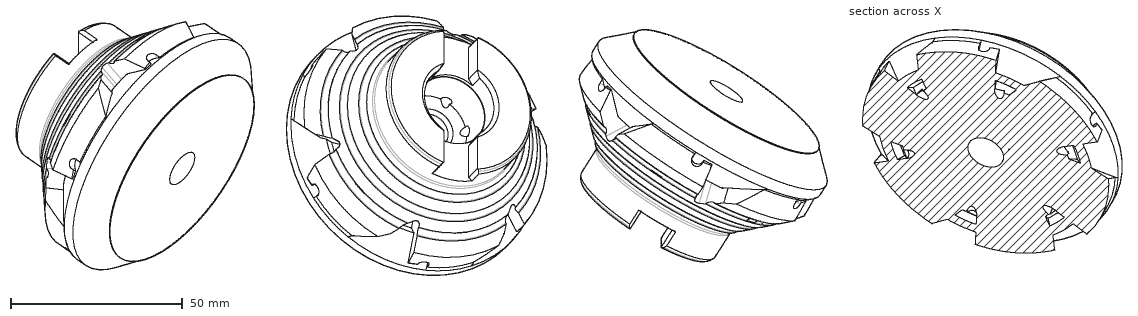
import cadquery as cq
import math


clearance = 5.0

total_length = 45.1
flange_radius = 39.15
flange_start = 33.95
flange_end = 37.3
flange_lead = 0.75
back_land = 0.3
body_radius = 38.5
hub_radius = 23.0
hub_face_radius = 22.0
hub_rim_chamfer = 0.55
hub_rim_length = 1.45
hub_root_fillet = 1.1

cone_offset = 12.6
cone_angle = 45.0
groove_count = 3
groove_pitch = 4.25
first_groove_crest = 13.8
groove_height = 1.8
groove_fillet = 1.5

bore_radius = 11.0
bore_chamfer = 1.15
bore_depth = 21.0
bore_step_depth = 7.7
bore_step = 0.15
through_radius = 5.5
through_chamfer = 1.1

slot_width = 10.57
slot_depth = 6.4
slot_edge_chamfer = 1.0
slot_bore_flare = 1.17
slot_bore_flare_rise = 1.95

pocket_count = 6
pocket_pitch = 360 / pocket_count
pocket_phase = 11.5
pocket_root_x = 19.6
pocket_root_radius = pocket_root_x + cone_offset
pocket_corner_radius = 1.15
seat_angle = 13.7
root_angle = 47.6
back_angle = 35.0
relief_angle = 53.0
apex_along = -1.4
apex_across = 1.55
root_end = 1.2
seat_end = 13.55
back_wall_end = 6.1
pocket_reach = 22.0
pocket_depth = 10.0
pocket_floor_x = 26.6
pocket_floor_cone_offset = flange_radius - flange_start
pocket_far_across = 9.4

notch_radius = 1.65
notch_tip_x = 30.1
notch_angle = 14.3

coolant_radius = 1.5
coolant_inlet = cq.Vector(bore_depth, -1.85, 12.0)
coolant_advance = 7.2
coolant_outlet = cq.Vector(bore_depth + coolant_advance, 1.1, 27.0)
coolant_inner_run = 4.5


def rotate_about_axis(shape, angle):
    return shape.rotate((0, 0, 0), (1, 0, 0), angle)


def revolve_profile(profile):
    return profile.close().revolve(360, (0, 0, 0), (1, 0, 0))


def make_body():
    """Solid of revolution with hub, grooves, head and flange."""
    diagonal = math.sqrt(0.5)
    cone_start = hub_radius - cone_offset
    root_tangent = hub_root_fillet * math.tan(math.radians(cone_angle / 2))
    root_start = cone_start - root_tangent
    root_end_x = cone_start + root_tangent * diagonal
    root_mid_x = root_start + hub_root_fillet * math.sin(math.radians(cone_angle / 2))
    root_mid_radius = hub_radius + hub_root_fillet * (1 - math.cos(math.radians(cone_angle / 2)))
    profile = (
        cq.Workplane("XY")
        .lineTo(0, hub_face_radius)
        .lineTo(hub_rim_chamfer, hub_face_radius + hub_rim_chamfer)
        .lineTo(hub_rim_length, hub_radius)
        .lineTo(root_start, hub_radius)
        .threePointArc((root_mid_x, root_mid_radius), (root_end_x, root_end_x + cone_offset))
    )
    for index in range(groove_count):
        crest = first_groove_crest + index * groove_pitch
        crest_radius = crest + cone_offset
        floor_radius = crest_radius - groove_height
        fillet_mid = groove_fillet * (1 - diagonal)
        profile = (
            profile.lineTo(floor_radius - cone_offset, floor_radius)
            .lineTo(crest - groove_fillet, floor_radius)
            .threePointArc(
                (crest - fillet_mid, floor_radius + fillet_mid),
                (crest, floor_radius + groove_fillet),
            )
            .lineTo(crest, crest_radius)
        )
    land_start = total_length - back_land
    back_radius = flange_radius - (land_start - flange_end)
    profile = (
        profile.lineTo(body_radius - cone_offset, body_radius)
        .lineTo(flange_start - flange_lead, body_radius)
        .lineTo(flange_start, flange_radius)
        .lineTo(flange_end, flange_radius)
        .lineTo(land_start, back_radius)
        .lineTo(total_length, back_radius)
        .lineTo(total_length, 0)
    )
    return revolve_profile(profile)


def make_bore():
    """Stepped bore with chamfered mouths, running through the whole body."""
    lower_radius = bore_radius - bore_step
    profile = (
        cq.Workplane("XY")
        .lineTo(0, bore_radius + bore_chamfer)
        .lineTo(bore_chamfer, bore_radius)
        .lineTo(bore_step_depth, bore_radius)
        .lineTo(bore_step_depth, lower_radius)
        .lineTo(bore_depth, lower_radius)
        .lineTo(bore_depth, through_radius + through_chamfer)
        .lineTo(bore_depth + through_chamfer, through_radius)
        .lineTo(total_length, through_radius)
        .lineTo(total_length, 0)
    )
    return revolve_profile(profile)


def make_drive_slot():
    """Slot across the hub, flared where its walls meet the hub outside and the bore."""
    half = slot_width / 2
    flare = half + slot_edge_chamfer
    outer_end = math.sqrt(hub_radius**2 - flare**2)
    outer_start = outer_end - slot_edge_chamfer
    bore_flare = half + slot_bore_flare
    inner_start = math.sqrt(bore_radius**2 - bore_flare**2)
    inner_end = inner_start + slot_bore_flare_rise
    quarter = [
        (bore_flare, inner_start),
        (half, inner_end),
        (half, outer_start),
        (flare, outer_end),
        (flare, hub_radius + clearance),
    ]
    right_side = [(y, -z) for y, z in reversed(quarter)] + quarter
    left_side = [(-y, -z) for y, z in right_side]
    return cq.Workplane("YZ").polyline(right_side + left_side).close().extrude(slot_depth)


def make_pocket():
    """One insert pocket at +Z, sunk at right angles to the body cone and held off the flange."""
    tool_plane = cq.Plane(
        origin=(pocket_root_x, 0, pocket_root_radius), xDir=(1, 0, 1), normal=(-1, 0, 1)
    )
    seat_slope = math.tan(math.radians(seat_angle))
    seat_end_across = apex_across + seat_slope * (seat_end - apex_along)
    stop_along = seat_end - seat_slope * (pocket_far_across - seat_end_across)
    root_drop = math.tan(math.radians(root_angle)) * (root_end - apex_along)
    back_drop = math.tan(math.radians(back_angle)) * (back_wall_end - root_end)
    relief_drop = math.tan(math.radians(relief_angle)) * (pocket_reach - back_wall_end)
    root_across = apex_across - root_drop
    knee_across = root_across - back_drop
    outline = [
        (apex_along, apex_across),
        (seat_end, seat_end_across),
        (stop_along, pocket_far_across),
        (pocket_reach, pocket_far_across),
        (pocket_reach, knee_across - relief_drop),
        (back_wall_end, knee_across),
        (root_end, root_across),
    ]
    prism = (
        cq.Workplane(tool_plane)
        .polyline(outline)
        .close()
        .extrude(pocket_depth, both=True)
    )
    apex = tool_plane.toWorldCoords((apex_along, apex_across))
    prism = prism.edges(cq.NearestToPointSelector(apex.toTuple())).fillet(pocket_corner_radius)
    return prism.union(make_relief_notch()).intersect(make_pocket_limit())


def make_relief_notch():
    """Round-ended radial slot running from the head into the flange side of the pocket."""
    length = total_length - notch_tip_x
    notch = (
        cq.Workplane("XY", origin=(notch_tip_x + length / 2, 0, pocket_root_radius))
        .slot2D(length, 2 * notch_radius)
        .extrude(body_radius)
    )
    return rotate_about_axis(notch, -notch_angle)


def make_pocket_limit():
    """Revolved room the pockets may occupy: outside a 45 degree cone, undercut at its small end."""
    outer_radius = flange_radius + clearance
    floor_radius = pocket_floor_x + pocket_floor_cone_offset
    start_x = hub_radius - cone_offset
    inner_radius = bore_radius + clearance
    profile = (
        cq.Workplane("XY")
        .moveTo(start_x, inner_radius)
        .lineTo(pocket_floor_x + floor_radius - inner_radius, inner_radius)
        .lineTo(pocket_floor_x, floor_radius)
        .lineTo(outer_radius - pocket_floor_cone_offset, outer_radius)
        .lineTo(start_x, outer_radius)
    )
    return revolve_profile(profile)


def make_coolant_hole():
    """Slanted drilling between one pocket and the bottom corner of the bore."""
    run = coolant_outlet - coolant_inlet
    direction = run.normalized()
    start = coolant_inlet - direction * coolant_inner_run
    length = run.Length + coolant_inner_run
    return cq.Workplane(obj=cq.Solid.makeCylinder(coolant_radius, length, start, direction))


result = make_body().cut(make_bore()).cut(make_drive_slot())
pocket = make_pocket()
coolant_hole = make_coolant_hole()
for index in range(pocket_count):
    angle = pocket_phase + index * pocket_pitch
    result = result.cut(rotate_about_axis(pocket, angle))
    result = result.cut(rotate_about_axis(coolant_hole, angle))